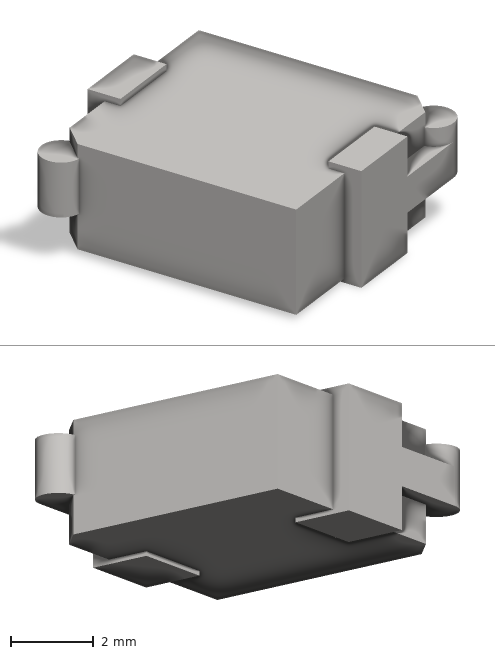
import cadquery as cq

overall_length = 7.8
overall_width = 7.41

body_length = 6.83
body_width = 6.435
body_height = 2.885
corner_chamfer = 0.6

clip_width = 2.08
clip_top_thickness = 0.195
clip_bottom_thickness = 0.12
clip_top_reach = 0.935
clip_bottom_reach = 1.62

post_radius = 0.57
wire_bottom = 0.99
post_height = 1.505
lead_height = 0.99

outer_x = overall_length / 2
body_x = body_length / 2
post_x = outer_x - post_radius
post_y = overall_width / 2 - post_radius


def make_body():
    """Block with two diagonally opposite vertical edges chamfered."""
    block = cq.Workplane("XY").box(body_length, body_width, body_height, centered=(True, True, False))
    chamfered_edges = block.edges("|Z").edges("<(1, 1, 0) or >(1, 1, 0)")
    return chamfered_edges.chamfer(corner_chamfer)


def make_clip():
    """C-shaped clip around the -X end of the body."""
    top = body_height + clip_top_thickness
    bottom = -clip_bottom_thickness
    profile = [
        (-outer_x, bottom),
        (-outer_x + clip_bottom_reach, bottom),
        (-outer_x + clip_bottom_reach, 0),
        (-body_x, 0),
        (-body_x, body_height),
        (-outer_x + clip_top_reach, body_height),
        (-outer_x + clip_top_reach, top),
        (-outer_x, top),
    ]
    return cq.Workplane("XZ").polyline(profile).close().extrude(clip_width / 2, both=True)


def make_wire_end():
    """Corner post at -X, -Y and the flat lead running from it to the clip."""
    level = cq.Workplane("XY").workplane(offset=wire_bottom)
    post = level.center(-post_x, -post_y).circle(post_radius).extrude(post_height)
    lead = (
        level.moveTo(-outer_x, -post_y)
        .lineTo(-body_x, -post_y)
        .lineTo(-body_x, -clip_width / 2)
        .lineTo(-outer_x, -clip_width / 2)
        .close()
        .extrude(lead_height)
    )
    return post.union(lead)


terminal = make_clip().union(make_wire_end())
result = make_body()
for angle in (0, 180):
    result = result.union(terminal.rotate((0, 0, 0), (0, 0, 1), angle))